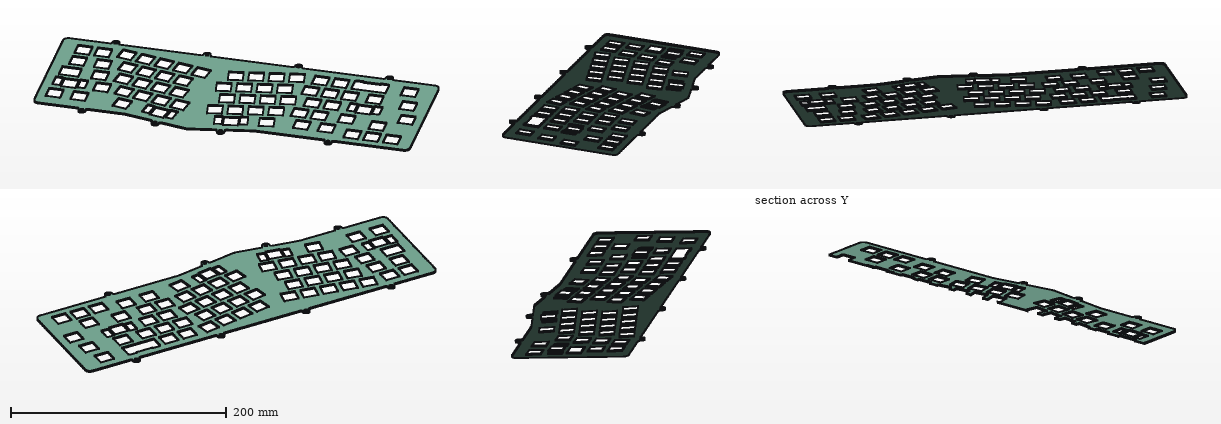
import cadquery as cq
import math


length = 362.0
overall_depth = 128.5
thickness = 1.5
typing_angle = 5.0
back_edge = 58.5
front_edge = -53.0
corner_radius = 5.0
wing_angle = 10.0

point_x = -30.0
point_half_width = 62.3
point_depth = point_half_width * math.tan(math.radians(wing_angle))

top_row_span = 314.2
top_row_pitches = 16.5
pitch = top_row_span / top_row_pitches
web = 5.0
cutout = pitch - web
straight_origin = (-158.2, 42.7)
left_origin = (-116.5, 43.8)
right_origin = (-8.7, 32.2)

slot_spacing = 24.0
slot_width = 7.2
slot_height = 13.5
slot_rise = 1.25
slot_corner = 0.5

ear_radius = 3.45
ear_hole_diameter = 3.1
ear_y = overall_depth / 2 - ear_radius
ear_root = 5.5
ear_fillet = 1.8
seam_margin = 0.5
back_ears_x = (-131.8, -43.8, 44.0, 131.8)
outer_front_ears = ((-133.2, -55.5), (104.0, -55.5))
inner_front_ears_x = (-61.0, 1.8)

straight_keys = [
    (0, 0), (1, 0), (12, 0), (13, 0), (16.5, 0),
    (0, 1), (1.25, 1), (11.75, 1), (12.75, 1), (13.75, 1), (15, 1), (16.75, 1.2),
    (1.375, 2), (12.125, 2), (13.125, 2), (14.75, 2), (17, 2.4),
    (0.125, 3), (1.75, 3), (11.75, 3), (12.75, 3), (14.125, 3), (15.75, 3.25),
    (-0.375, 4), (0.875, 4), (12.125, 4), (13.375, 4), (14.75, 4.25), (15.75, 4.25), (16.75, 4.25),
]
left_rows = [(0, 5), (0.5, 4), (0.75, 4), (1.25, 4)]
right_rows = [(0, 4), (-0.5, 4), (-0.25, 4), (-0.75, 4)]
bottom_row = 4
left_bottom_columns = (1.625, 3.625)
right_bottom_columns = (0.125, 1.875)

wide_cutouts = [(-0.125, 2, 0.25), (14.5, 0, 1)]
straight_stabilised = [(0.125, 3), (14.75, 2), (14.5, 0)]
left_stabilised = (left_bottom_columns[1], bottom_row)
right_stabilised = (right_bottom_columns[0], bottom_row)


def box_cutter(width, height):
    return cq.Workplane("XY").box(width, height, 2 * thickness)


def in_block(cutter, origin, angle, column, row):
    """Move a cutter from the origin to its place in a key block."""
    placed = cutter.translate((column * pitch, -row * pitch, 0))
    return placed.rotate((0, 0, 0), (0, 0, 1), angle).translate((*origin, 0))


def plate_body():
    left, right = -length / 2, length / 2
    body = (
        cq.Workplane("XY")
        .polyline([
            (left, back_edge),
            (right, back_edge),
            (right, front_edge),
            (point_x + point_half_width, front_edge),
            (point_x, front_edge - point_depth),
            (point_x - point_half_width, front_edge),
            (left, front_edge),
        ])
        .close()
        .extrude(thickness / 2, both=True)
    )
    return body.edges("|Z and (<X or >X)").fillet(corner_radius)


def ear(x, y, inward):
    """Rounded ear at (x, y); inward is +1 or -1, the Y direction of the plate."""
    disc = cq.Workplane("XY").circle(ear_radius).extrude(thickness / 2, both=True)
    root = cq.Workplane("XY").box(2 * ear_radius, ear_root, thickness)
    return disc.union(root.translate((0, inward * ear_root / 2, 0))).translate((x, y, 0))


def root_corners(x, y, inward):
    """Selector for the two inside corners where an ear meets the plate."""
    reach = ear_radius + seam_margin
    return cq.selectors.BoxSelector(
        (x - reach, y + inward * seam_margin, -thickness),
        (x + reach, y + inward * ear_root, thickness),
    )


ears = [(x, ear_y, -1) for x in back_ears_x]
ears += [(x, y, 1) for x, y in outer_front_ears]
ears += [(x, -ear_y, 1) for x in inner_front_ears_x]

plate = plate_body()
for x, y, inward in ears:
    plate = plate.union(ear(x, y, inward))
    plate = plate.edges("|Z").edges(root_corners(x, y, inward)).fillet(ear_fillet)
plate = plate.cut(
    cq.Workplane("XY")
    .pushPoints([(x, y) for x, y, _ in ears])
    .circle(ear_hole_diameter / 2)
    .extrude(thickness, both=True)
)

straight = (straight_origin, 0)
left_block = (left_origin, -wing_angle)
right_block = (right_origin, wing_angle)

keys = [(*straight, column, row) for column, row in straight_keys]
for block, rows, bottom_columns in (
    (left_block, left_rows, left_bottom_columns),
    (right_block, right_rows, right_bottom_columns),
):
    for row, (first, count) in enumerate(rows):
        keys += [(*block, first + step, row) for step in range(count)]
    keys += [(*block, column, bottom_row) for column in bottom_columns]

key_cutter = box_cutter(cutout, cutout)
cutters = [in_block(key_cutter, *key) for key in keys]

for column, row, extra in wide_cutouts:
    cutters.append(in_block(box_cutter(cutout + extra * pitch, cutout), *straight, column, row))

stabilised = [(*straight, column, row) for column, row in straight_stabilised]
stabilised += [(*left_block, *left_stabilised), (*right_block, *right_stabilised)]
slot_cutter = box_cutter(slot_width, slot_height).edges("|Z").fillet(slot_corner)
for key in stabilised:
    for side in (-1, 1):
        slot = slot_cutter.translate((side * slot_spacing / 2, slot_rise, 0))
        cutters.append(in_block(slot, *key))

for cutter in cutters:
    plate = plate.cut(cutter)

result = plate.rotate((0, 0, 0), (1, 0, 0), typing_angle)